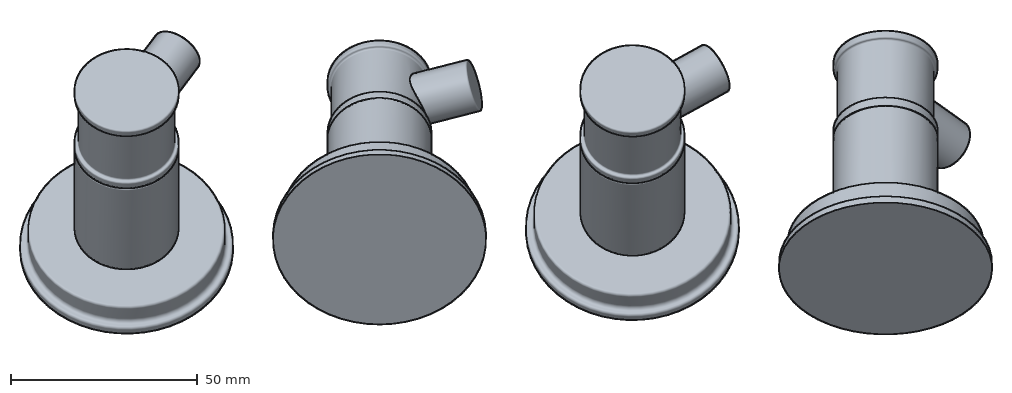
import cadquery as cq

total_height = 70.35
rim_height = 2.5
base_height = 8.95
column_top = 44.75
collar_top = 47.55
cap_height = 2.5
cap_bottom = total_height - cap_height

rim_radius = 28.6
base_radius = 26.4
column_radius = 14.0
neck_radius = 12.95

rim_round = 0.8
base_round = 0.8
cove_radius = 1.2
small_round = 0.5

lever_radius = 7.1
lever_reach = 26.75
lever_height = 57.85


def disc(radius, bottom, top):
    """Upright cylinder between two heights."""
    return cq.Workplane("XY").workplane(offset=bottom).circle(radius).extrude(top - bottom)


def cove(radius, foot, size, direction):
    """Ring with a concave face, joining a cylinder to a shoulder above (-1) or below (+1) it."""
    outer = radius + size
    end = foot + direction * size
    bend = size * (1 - 0.5 ** 0.5)
    profile = (
        cq.Workplane("XZ")
        .moveTo(0, foot)
        .lineTo(outer, foot)
        .threePointArc((radius + bend, foot + direction * bend), (radius, end))
        .lineTo(0, end)
        .close()
    )
    return profile.revolve(360, (0, 0, 0), (0, 1, 0))


def make_base():
    rim = disc(rim_radius, 0, rim_height).faces(">Z").edges().fillet(rim_round)
    body = disc(base_radius, 0, base_height).faces(">Z").edges().fillet(base_round)
    return rim.union(body).union(cove(base_radius, rim_height, cove_radius, 1))


def rounded_disc(radius, bottom, top):
    """Upright cylinder with both rim edges rounded."""
    return disc(radius, bottom, top).edges().fillet(small_round)


def make_stem():
    column = rounded_disc(column_radius, base_height, column_top)
    collar = rounded_disc(column_radius, column_top, collar_top)
    neck = disc(neck_radius, collar_top, cap_bottom)
    cap = rounded_disc(column_radius, cap_bottom, total_height)
    lower_cove = cove(neck_radius, collar_top, small_round, 1)
    upper_cove = cove(neck_radius, cap_bottom, small_round, -1)
    return column.union(collar).union(neck).union(cap).union(lower_cove).union(upper_cove)


def make_lever():
    lever = cq.Workplane("XZ").center(0, lever_height).circle(lever_radius).extrude(-lever_reach)
    return lever.faces(">Y").edges().fillet(small_round)


result = make_base().union(make_stem()).union(make_lever())